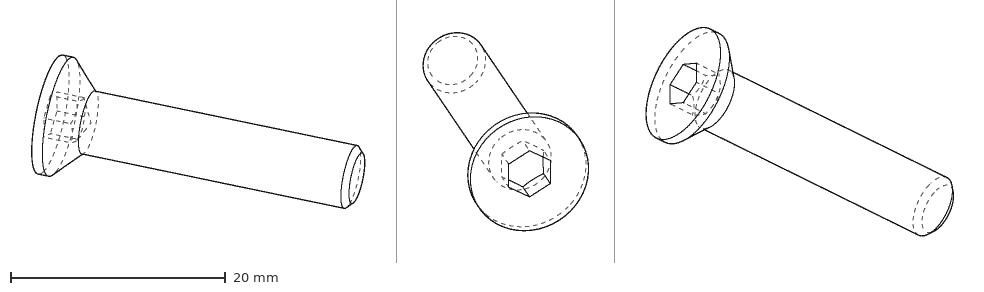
import cadquery as cq
import math

total_length = 30.0
head_diameter = 11.35
shank_diameter = 6.0
head_rim = 1.05
tip_chamfer = 0.6
hex_across_flats = 4.0
socket_depth = 2.65
socket_tip_angle = 120.0

head_radius = head_diameter / 2
shank_radius = shank_diameter / 2
head_height = head_rim + head_radius - shank_radius
hex_corner_radius = hex_across_flats / math.sqrt(3)
socket_tip_height = hex_corner_radius / math.tan(math.radians(socket_tip_angle / 2))


def make_body():
    """Revolve the half outline of the head and shank about the X axis."""
    return (
        cq.Workplane("XY")
        .moveTo(0, 0)
        .lineTo(0, head_radius)
        .lineTo(head_rim, head_radius)
        .lineTo(head_height, shank_radius)
        .lineTo(total_length - tip_chamfer, shank_radius)
        .lineTo(total_length, shank_radius - tip_chamfer)
        .lineTo(total_length, 0)
        .close()
        .revolve(360, (0, 0, 0), (1, 0, 0))
    )


def make_socket():
    """Hexagon with corners up and down, bounded by a conical bottom."""
    full_depth = socket_depth + socket_tip_height
    corners = [
        (hex_corner_radius * math.sin(i * math.pi / 3), hex_corner_radius * math.cos(i * math.pi / 3))
        for i in range(6)
    ]
    hexagon = cq.Workplane("YZ").polyline(corners).close().extrude(full_depth)
    pointed_bore = (
        cq.Workplane("XY")
        .moveTo(0, 0)
        .lineTo(0, hex_corner_radius)
        .lineTo(socket_depth, hex_corner_radius)
        .lineTo(full_depth, 0)
        .close()
        .revolve(360, (0, 0, 0), (1, 0, 0))
    )
    return hexagon.intersect(pointed_bore)


result = make_body().cut(make_socket())